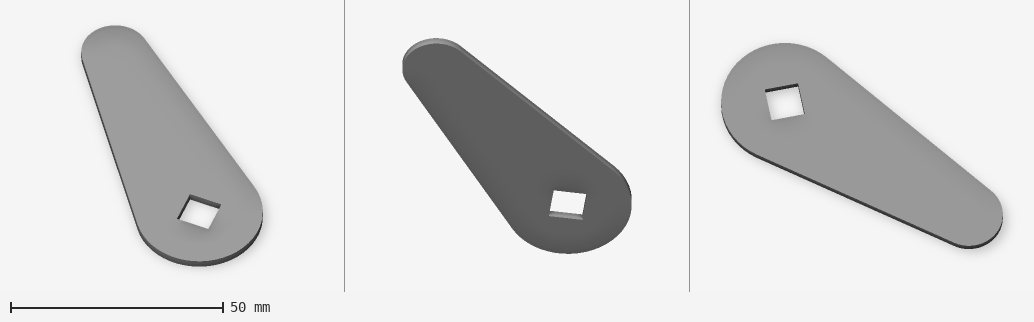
import cadquery as cq
import math

overall_length = 75.0
thickness = 2.0
hub_radius = 15.0
tip_radius = 8.0
square_side = 8.0
square_angle = 45.0

center_distance = overall_length - hub_radius - tip_radius
tip_x = -center_distance

taper_angle = math.asin((hub_radius - tip_radius) / center_distance)


def tangent_point(center_x, radius):
    """Point where the upper straight edge touches an end arc."""
    x = center_x - radius * math.sin(taper_angle)
    y = radius * math.cos(taper_angle)
    return x, y


def lever_plate():
    """Plate bounded by two end arcs and their common tangents."""
    hub_x, hub_y = tangent_point(0, hub_radius)
    end_x, end_y = tangent_point(tip_x, tip_radius)
    return (
        cq.Workplane("XY")
        .moveTo(hub_x, hub_y)
        .threePointArc((hub_radius, 0), (hub_x, -hub_y))
        .lineTo(end_x, -end_y)
        .threePointArc((tip_x - tip_radius, 0), (end_x, end_y))
        .close()
        .extrude(thickness)
    )


def square_hole():
    """Through-cutter for the square hole at the hub center."""
    return (
        cq.Workplane("XY")
        .rect(square_side, square_side)
        .extrude(thickness)
        .rotate((0, 0, 0), (0, 0, 1), square_angle)
    )


result = lever_plate().cut(square_hole())